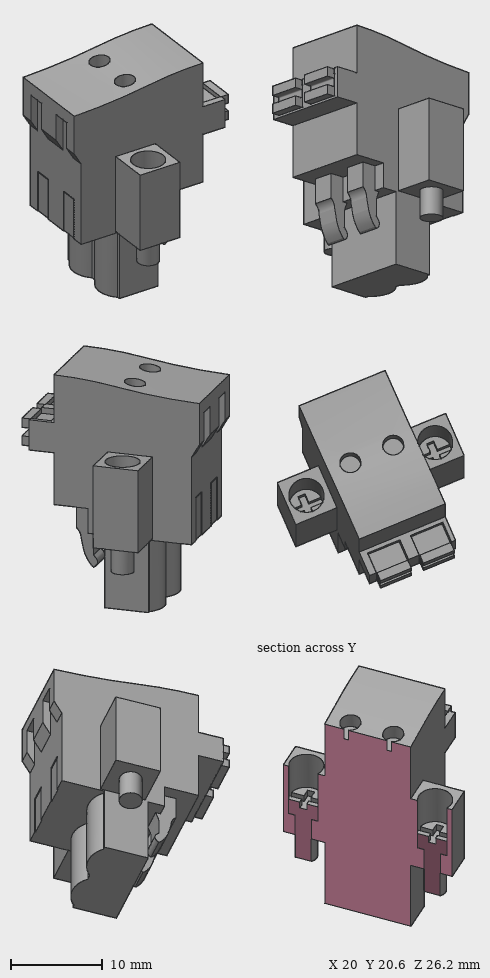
import cadquery as cq
import math


POLE_PITCH = 5.08
POLE_X = (-POLE_PITCH / 2, POLE_PITCH / 2)
BLOCK_WIDTH = 10.2
REAR_Y = 8.79
FRONT_Y = -7.08
NOSE_Y = -7.98
STEP_Y = 4.84
STEP_Z = 2.86
CHAMFER_BOTTOM_Z = 10.12
CHAMFER_TOP_Z = 11.64

TOP_REAR_Z = 17.85
TOP_BEND_Y = 1.88
TOP_BEND_Z = 17.31
TOP_FRONT_Z = 16.41

LEDGE_Y = 11.67
LEDGE_BOTTOM_Z = 8.84
LEDGE_TOP_Z = 12.34
POCKET_FRONT_Y = 9.25
BUTTON_OFFSET_X = -0.15
BUTTON_X = tuple(x + BUTTON_OFFSET_X for x in POLE_X)
BUTTON_WIDTH = 3.65
BUTTON_SIDE_GAP = 0.09
BUTTON_BOTTOM_Z = 9.1
BUTTON_TOP_Z = 12.24
BUTTON_FLOOR_Z = 11.7
BUTTON_END_Y = 12.66
BUTTON_SLOT_HEIGHT = 0.97
BUTTON_SLOT_FILLET = 0.15

SOCKET_HEIGHT = 8.39
SOCKET_REAR_Y = 2.94
SOCKET_FLAT_Y = -2.11
SOCKET_BULGE_Y = -3.08
SOCKET_BULGE_WIDTH = 4.46

UPPER_SLOT_X = 2.53
UPPER_SLOT_WIDTH = 2.09
UPPER_SLOT_TOP_Z = 14.88
LOWER_SLOT_X = 2.575
LOWER_SLOT_WIDTH = 2.02
LOWER_SLOT_TOP_Z = 4.95
LOWER_SLOT_DEPTH = 0.1

TEST_HOLE_DIAMETER = 2.3
TEST_HOLE_Y = 0.29
TEST_HOLE_FLOOR_Z = 15.6

LATCH_WIDTH = 2.5
LATCH_REAR_Y = 6.64
LATCH_FRONT_Y = 4.66
LATCH_ROOT_FRONT_Y = 4.27
LATCH_NECK_Z = -1.08
LATCH_SHOULDER_MID = (6.28, -0.42)
LATCH_SHOULDER_END = (6.10, LATCH_NECK_Z)
LATCH_BACK_BEND = (5.81, -2.43)
LATCH_BACK_MID = (5.46, -3.32)
LATCH_BACK_END = (4.82, -4.21)
LATCH_TIP = (4.64, -4.33)
LATCH_NOSE_MID = (4.22, -3.85)
LATCH_NOSE_END = (4.42, -3.18)
LATCH_THROAT_Z = -2.90
LATCH_ROOT_MID = (4.52, -0.62)

OVERALL_WIDTH = 19.96
FLANGE_DEPTH = 5.16
FLANGE_BOTTOM_Z = 0.18
FLANGE_TOP_Z = 9.65
SCREW_X = 7.62

SCREW_HEAD_DIAMETER = 3.83
SCREW_HEAD_TOP_Z = 5.0
SCREW_HEAD_BOTTOM_Z = 3.0
SCREW_SHANK_DIAMETER = 2.52
SCREW_BOTTOM_Z = -2.98
DRIVE_DEPTH = 0.8
DRIVE_SLOT_WIDTH = 0.63
DRIVE_CROSS_WIDTH = 0.81
DRIVE_CROSS_LENGTH = 2.7


def box(x_range, y_range, z_range):
    """Axis-aligned box between the given limits."""
    (x0, x1), (y0, y1), (z0, z1) = x_range, y_range, z_range
    return cq.Workplane("XY").box(x1 - x0, y1 - y0, z1 - z0, centered=False).translate((x0, y0, z0))


def around(center, width):
    """Limits of a span of the given width about a center."""
    return (center - width / 2, center + width / 2)


def extrude_across(profile, center_x, width):
    """Extrude a closed Y-Z profile along X, centered on center_x."""
    return profile.extrude(width / 2, both=True).translate((center_x, 0, 0))


def block_profile():
    """Block outline in Y-Z, with the two top arcs tangent to each other."""
    drop = TOP_REAR_Z - TOP_BEND_Z
    run = REAR_Y - TOP_BEND_Y
    radius = (run**2 + drop**2) / (2 * drop)
    half_angle = math.asin(run / radius) / 2
    convex_mid = (
        REAR_Y - radius * math.sin(half_angle),
        TOP_REAR_Z - radius * (1 - math.cos(half_angle)),
    )
    return (
        cq.Workplane("YZ")
        .moveTo(REAR_Y, TOP_REAR_Z)
        .threePointArc(convex_mid, (TOP_BEND_Y, TOP_BEND_Z))
        .tangentArcPoint((NOSE_Y, TOP_FRONT_Z), relative=False)
        .lineTo(NOSE_Y, CHAMFER_TOP_Z)
        .lineTo(FRONT_Y, CHAMFER_BOTTOM_Z)
        .lineTo(FRONT_Y, 0)
        .lineTo(STEP_Y, 0)
        .lineTo(STEP_Y, STEP_Z)
        .lineTo(REAR_Y, STEP_Z)
        .lineTo(REAR_Y, LEDGE_BOTTOM_Z)
        .lineTo(LEDGE_Y, LEDGE_BOTTOM_Z)
        .lineTo(LEDGE_Y, LEDGE_TOP_Z)
        .lineTo(REAR_Y, LEDGE_TOP_Z)
        .close()
    )


def socket():
    """Plug-in part: a flat-sided block with one rounded bulge per pole on its front."""
    side_x = BLOCK_WIDTH / 2
    outline = cq.Workplane("XY").moveTo(-side_x, SOCKET_REAR_Y).lineTo(-side_x, SOCKET_FLAT_Y)
    for x in POLE_X:
        start_x, end_x = around(x, SOCKET_BULGE_WIDTH)
        outline = outline.lineTo(start_x, SOCKET_FLAT_Y)
        outline = outline.threePointArc((x, SOCKET_BULGE_Y), (end_x, SOCKET_FLAT_Y))
    outline = outline.lineTo(side_x, SOCKET_FLAT_Y).lineTo(side_x, SOCKET_REAR_Y)
    return outline.close().extrude(-SOCKET_HEIGHT)


def latch(center_x):
    """Hook that hangs from the rear step, with a rounded nose pointing to the front."""
    profile = (
        cq.Workplane("YZ")
        .moveTo(STEP_Y, STEP_Z)
        .lineTo(LATCH_REAR_Y, STEP_Z)
        .lineTo(LATCH_REAR_Y, 0)
        .threePointArc(LATCH_SHOULDER_MID, LATCH_SHOULDER_END)
        .lineTo(*LATCH_BACK_BEND)
        .threePointArc(LATCH_BACK_MID, LATCH_BACK_END)
        .lineTo(*LATCH_TIP)
        .threePointArc(LATCH_NOSE_MID, LATCH_NOSE_END)
        .lineTo(LATCH_FRONT_Y, LATCH_THROAT_Z)
        .lineTo(LATCH_FRONT_Y, LATCH_NECK_Z)
        .threePointArc(LATCH_ROOT_MID, (LATCH_ROOT_FRONT_Y, 0))
        .lineTo(STEP_Y, 0)
        .close()
    )
    return extrude_across(profile, center_x, LATCH_WIDTH)


def flange(side):
    """Block beside the housing that holds one screw."""
    x_range = sorted((side * BLOCK_WIDTH / 2, side * OVERALL_WIDTH / 2))
    return box(x_range, around(0, FLANGE_DEPTH), (FLANGE_BOTTOM_Z, FLANGE_TOP_Z))


def cylinder(x, y, diameter, z_range):
    """Vertical cylinder between two heights."""
    bottom, top = z_range
    return cq.Workplane("XY", origin=(x, y, bottom)).circle(diameter / 2).extrude(top - bottom)


def test_hole(x):
    """Blind round hole in the top of one pole."""
    return cylinder(x, TEST_HOLE_Y, TEST_HOLE_DIAMETER, (TEST_HOLE_FLOOR_Z, TOP_REAR_Z))


def button_pocket(x):
    """Pocket in the ledge, open at the top and the rear, with a small gap beside the button."""
    x_range = around(x, BUTTON_WIDTH + 2 * BUTTON_SIDE_GAP)
    return box(x_range, (POCKET_FRONT_Y, LEDGE_Y), (BUTTON_BOTTOM_Z, LEDGE_TOP_Z))


def upper_front_slot(side):
    """Slot through the overhanging nose, as deep as the lower front face."""
    x_range = around(side * UPPER_SLOT_X, UPPER_SLOT_WIDTH)
    return box(x_range, (NOSE_Y, FRONT_Y), (CHAMFER_BOTTOM_Z, UPPER_SLOT_TOP_Z))


def lower_front_slot(side):
    """Shallow slot in the lower front face, open at the bottom."""
    x_range = around(side * LOWER_SLOT_X, LOWER_SLOT_WIDTH)
    return box(x_range, (FRONT_Y, FRONT_Y + LOWER_SLOT_DEPTH), (0, LOWER_SLOT_TOP_Z))


def screw_bore(x):
    """Stepped bore through a flange: head diameter above, shank diameter below."""
    head_bore = cylinder(x, 0, SCREW_HEAD_DIAMETER, (SCREW_HEAD_BOTTOM_Z, FLANGE_TOP_Z))
    shank_bore = cylinder(x, 0, SCREW_SHANK_DIAMETER, (FLANGE_BOTTOM_Z, SCREW_HEAD_BOTTOM_Z))
    return head_bore.union(shank_bore)


def make_housing():
    """Block, socket, latches and flanges in one piece."""
    body = extrude_across(block_profile(), 0, BLOCK_WIDTH).union(socket())
    for x in POLE_X:
        body = body.union(latch(x)).cut(test_hole(x))
    for x in BUTTON_X:
        body = body.cut(button_pocket(x))
    for side in (-1, 1):
        body = body.union(flange(side)).cut(screw_bore(side * SCREW_X))
        body = body.cut(upper_front_slot(side)).cut(lower_front_slot(side))
    return body


def make_screw(x):
    """Flange screw with a cross-shaped drive in its head."""
    drive_z = (SCREW_HEAD_TOP_Z - DRIVE_DEPTH, SCREW_HEAD_TOP_Z)
    head = cylinder(x, 0, SCREW_HEAD_DIAMETER, (SCREW_HEAD_BOTTOM_Z, SCREW_HEAD_TOP_Z))
    shank = cylinder(x, 0, SCREW_SHANK_DIAMETER, (SCREW_BOTTOM_Z, SCREW_HEAD_BOTTOM_Z))
    slot = box(around(x, SCREW_HEAD_DIAMETER), around(0, DRIVE_SLOT_WIDTH), drive_z)
    cross = box(around(x, DRIVE_CROSS_WIDTH), around(0, DRIVE_CROSS_LENGTH), drive_z)
    return head.union(shank).cut(slot).cut(cross)


def make_button(x):
    """Push-button: a block in the ledge pocket with a slotted head that stands out at the rear."""
    x_range = around(x, BUTTON_WIDTH)
    slot_z = around((BUTTON_BOTTOM_Z + BUTTON_TOP_Z) / 2, BUTTON_SLOT_HEIGHT)
    block = box(x_range, (POCKET_FRONT_Y, LEDGE_Y), (BUTTON_BOTTOM_Z, BUTTON_FLOOR_Z))
    head = box(x_range, (LEDGE_Y, BUTTON_END_Y), (BUTTON_BOTTOM_Z, BUTTON_TOP_Z))
    slot = box(x_range, (LEDGE_Y, BUTTON_END_Y), slot_z).edges("|X and <Y").fillet(BUTTON_SLOT_FILLET)
    return block.union(head).cut(slot)


housing = make_housing()
screws = [make_screw(side * SCREW_X) for side in (-1, 1)]
buttons = [make_button(x) for x in BUTTON_X]

result = cq.Compound.makeCompound([housing.val(), *[body.val() for body in screws + buttons]])